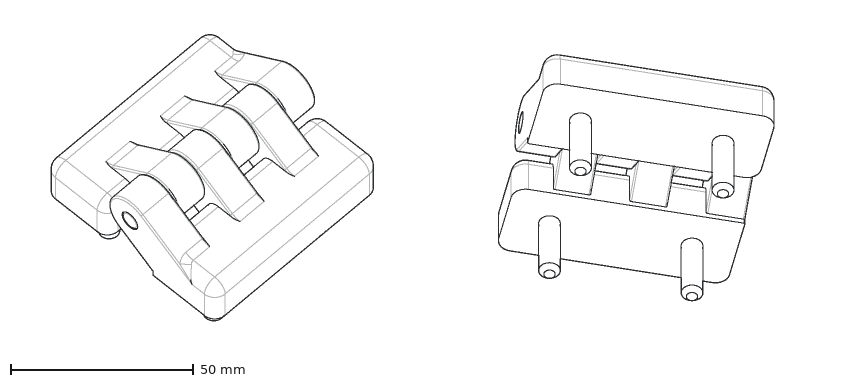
import cadquery as cq
import math

length_x = 65.0
length_y = 64.9

plate_width = 24.0
plate_height = 14.0
plate_rounding = 4.0

pivot_height = 16.95
knuckle_radius = 8.0
arm_angle = math.radians(34)
foot_rounding = 5.2
arm_edge_rounding = 0.5
knuckle_gap = 0.4
end_knuckle_width = 11.0

pin_diameter = 6.0
pin_end_rounding = 0.5

stud_diameter = 6.0
stud_length = 20.0
stud_chamfer = 1.4
stud_offset = 20.0

half_y = length_y / 2
plate_outer_x = length_x / 2
plate_inner_x = plate_outer_x - plate_width
plate_flat_end_x = plate_outer_x - plate_rounding
middle_knuckle_width = (half_y - end_knuckle_width - knuckle_gap) / 2
end_knuckle_span = (-half_y, -half_y + end_knuckle_width)
middle_knuckle_spans = [
    (-middle_knuckle_width, 0.0),
    (middle_knuckle_width + knuckle_gap, half_y - end_knuckle_width),
]


def make_plate():
    """Plate with rounded upright and top edges."""
    plate = cq.Workplane("XY").box(plate_width, length_y, plate_height, centered=(False, True, False))
    plate = plate.edges("|Z or >Z").fillet(plate_rounding)
    return plate.translate((plate_inner_x, 0, 0))


def round_arm_edges(body, side):
    """Round the outline of one side face, except along the bottom and inside the plate."""
    outline = cq.selectors.BoxSelector(
        (-length_x, -length_y, arm_edge_rounding), (plate_flat_end_x - arm_edge_rounding, length_y, length_x)
    )
    return body.faces(side).edges(outline).fillet(arm_edge_rounding)


def make_ridge():
    """Full-length arm section, blended into the plate top and its rounded -Y end."""
    slope = math.tan(arm_angle)
    tangent_x = knuckle_radius * math.sin(arm_angle)
    tangent_z = knuckle_radius * math.cos(arm_angle)
    slope_top = (tangent_x, pivot_height + tangent_z)
    slope_end_x = tangent_x + slope_top[1] / slope
    underside_start = (-tangent_x, pivot_height - tangent_z)
    underside_end_z = underside_start[1] - (plate_inner_x + tangent_x) * slope
    far_side = (-tangent_z, pivot_height + tangent_x)

    ridge = (
        cq.Workplane("XZ", origin=(0, half_y, 0))
        .moveTo(*slope_top)
        .lineTo(slope_end_x, 0)
        .lineTo(plate_inner_x, 0)
        .lineTo(plate_inner_x, underside_end_z)
        .lineTo(*underside_start)
        .threePointArc(far_side, slope_top)
        .close()
        .extrude(length_y)
    )
    ridge = round_arm_edges(ridge, "<Y")
    shoulder = cq.Workplane("XY").box(length_x, length_y, plate_height, centered=(False, True, False))
    shoulder = shoulder.edges(">Z and <Y").fillet(plate_rounding)
    shoulder = shoulder.translate((plate_inner_x + plate_rounding, 0, 0))

    foot_x = slope_end_x - plate_height / slope
    foot_edge = cq.NearestToPointSelector((foot_x, 0, plate_height))
    return shoulder.union(ridge).edges(foot_edge).fillet(foot_rounding)


def slice_ridge(ridge, span):
    """Part of the ridge between two Y places, ending inside the plate."""
    y_start, y_end = span
    slab = cq.Workplane("XY").box(
        plate_flat_end_x + knuckle_radius, y_end - y_start, length_x, centered=False
    )
    return ridge.intersect(slab.translate((-knuckle_radius, y_start, 0)))


def make_stud(y):
    """Mounting stud with a chamfered tip."""
    stud = cq.Workplane("XY").circle(stud_diameter / 2).extrude(-stud_length)
    return stud.faces("<Z").chamfer(stud_chamfer).translate((stud_offset, y, 0))


def make_leaf():
    """The +X leaf: plate, three arms and two studs."""
    ridge = make_ridge()
    leaf = make_plate()
    leaf = leaf.union(round_arm_edges(slice_ridge(ridge, end_knuckle_span), ">Y"))
    for span in middle_knuckle_spans:
        arm = round_arm_edges(slice_ridge(ridge, span), "<Y")
        leaf = leaf.union(round_arm_edges(arm, ">Y"))
    for y in (-stud_offset, stud_offset):
        leaf = leaf.union(make_stud(y))
    return leaf


def make_pin_blank():
    """Plain cylinder along the hinge axis."""
    return cq.Workplane("XZ", origin=(0, half_y, pivot_height)).circle(pin_diameter / 2).extrude(length_y)


leaf = make_leaf()
opposite_leaf = leaf.rotate((0, 0, 0), (0, 0, 1), 180)
pin_blank = make_pin_blank()
pin = pin_blank.faces("<Y or >Y").edges().fillet(pin_end_rounding)
result = leaf.union(opposite_leaf).cut(pin_blank).union(pin)